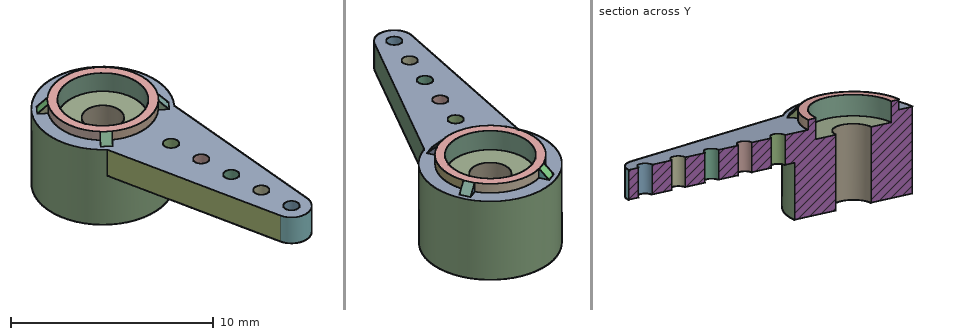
import cadquery as cq
import math

hub_diameter = 7.1
hub_height = 4.57
bore_diameter = 2.1

collar_diameter = 5.49
collar_top = 5.1
recess_diameter = 4.5
recess_depth = 1.1

total_length = 17.05
arm_thickness = 1.59
tip_radius = 1.0
arm_hole_diameter = 0.8
arm_hole_spacing = 2.0
arm_hole_count = 5

rib_width = 0.6
rib_reach = 0.53
rib_overlap = 0.17
rib_angles = (45, 135, 225, 315)

hub_radius = hub_diameter / 2
collar_radius = collar_diameter / 2
tip_center = total_length - hub_radius - tip_radius


def make_arm():
    """Arm sides run from the 45 degree points of the hub, tangent to the round tip."""
    root = hub_radius * math.sqrt(0.5)
    run = tip_center - root
    tangent_angle = math.atan2(root, -run) - math.acos(tip_radius / math.hypot(run, root))
    tangent_x = tip_center + tip_radius * math.cos(tangent_angle)
    tangent_y = tip_radius * math.sin(tangent_angle)
    return (
        cq.Workplane("XY", origin=(0, 0, hub_height - arm_thickness))
        .moveTo(0, 0)
        .lineTo(root, -root)
        .lineTo(tangent_x, -tangent_y)
        .threePointArc((tip_center + tip_radius, 0), (tangent_x, tangent_y))
        .lineTo(root, root)
        .close()
        .extrude(arm_thickness)
    )


def make_rib(angle):
    """Triangular rib sloping from the collar top down to the hub top."""
    inner = collar_radius - rib_overlap
    outer = collar_radius + rib_reach
    return (
        cq.Workplane("XZ")
        .moveTo(inner, hub_height)
        .lineTo(outer, hub_height)
        .lineTo(collar_radius, collar_top)
        .lineTo(inner, collar_top)
        .close()
        .extrude(rib_width / 2, both=True)
        .rotate((0, 0, 0), (0, 0, 1), angle)
    )


hub = cq.Workplane("XY").circle(hub_radius).extrude(hub_height)
collar = cq.Workplane("XY").circle(collar_radius).extrude(collar_top)
result = hub.union(collar).union(make_arm())
for rib_angle in rib_angles:
    result = result.union(make_rib(rib_angle))

recess = (
    cq.Workplane("XY", origin=(0, 0, collar_top - recess_depth))
    .circle(recess_diameter / 2)
    .extrude(recess_depth)
)
bore = cq.Workplane("XY").circle(bore_diameter / 2).extrude(collar_top)
result = result.cut(recess).cut(bore)

hole_positions = [(tip_center - i * arm_hole_spacing, 0) for i in range(arm_hole_count)]
arm_holes = (
    cq.Workplane("XY")
    .pushPoints(hole_positions)
    .circle(arm_hole_diameter / 2)
    .extrude(hub_height)
)
result = result.cut(arm_holes)